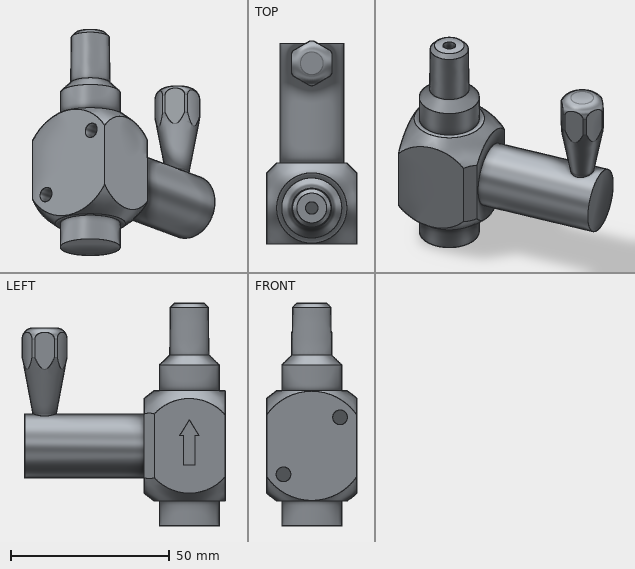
import cadquery as cq
import math

BLOCK_WIDTH = 28.6
BLOCK_BACK = BLOCK_WIDTH / 2
BLOCK_FRONT = -11.4
BLOCK_BOTTOM = 7.8
BLOCK_HEIGHT = 34.9
BLOCK_TOP = BLOCK_BOTTOM + BLOCK_HEIGHT
MID_Z = BLOCK_BOTTOM + BLOCK_HEIGHT / 2
ROUNDING_RADIUS = 20.7
BACK_CHAMFER = 3.25

TOTAL_HEIGHT = 70.35
PORT_RADIUS = 9.5
PORT_TOP = 50.8
NOZZLE_BASE_Z = 54.0
NOZZLE_BASE_RADIUS = 6.25
NOZZLE_TIP_RADIUS = 6.05
TIP_FACE_RADIUS = 4.7
TIP_CHAMFER_HEIGHT = 1.35
BORE_RADIUS = 2.0
BORE_DEPTH = TOTAL_HEIGHT - PORT_TOP

MOUNT_DIAMETER = 4.65
MOUNT_DEPTH = 7.05
MOUNT_X = 8.95
MOUNT_Z = 9.0

ARROW_TIP_Z = 33.5
ARROW_HEAD_Z = 28.6
ARROW_TAIL_Z = 19.3
ARROW_HEAD_HALF = 3.0
ARROW_SHAFT_HALF = 1.8
ARROW_DEPTH = 0.1

SPINDLE_RADIUS = 10.1
SPINDLE_END = 52.1
HANDLE_Y = 45.7
HANDLE_TOP = 62.55
STEM_RADIUS = 3.7
STEM_BASE_Z = MID_Z + SPINDLE_RADIUS
GRIP_RADIUS = 7.1
GRIP_BASE_Z = 53.1
GRIP_APOTHEM = 6.4
CROWN_FILLET = 3.5


def make_block():
    depth = BLOCK_BACK - BLOCK_FRONT
    block = (
        cq.Workplane("XY")
        .box(BLOCK_WIDTH, depth, BLOCK_HEIGHT)
        .translate((0, (BLOCK_BACK + BLOCK_FRONT) / 2, MID_Z))
        .edges("|Z and >Y")
        .chamfer(BACK_CHAMFER)
    )
    rounding = cq.Workplane("XY").sphere(ROUNDING_RADIUS).translate((0, 0, MID_Z))
    return block.intersect(rounding)


def make_ports():
    """Revolve the inlet port, outlet port and tapered nozzle about the flow axis."""
    return (
        cq.Workplane("XZ")
        .polyline([
            (0, 0),
            (PORT_RADIUS, 0),
            (PORT_RADIUS, PORT_TOP),
            (NOZZLE_BASE_RADIUS, NOZZLE_BASE_Z),
            (NOZZLE_TIP_RADIUS, TOTAL_HEIGHT - TIP_CHAMFER_HEIGHT),
            (TIP_FACE_RADIUS, TOTAL_HEIGHT),
            (0, TOTAL_HEIGHT),
        ])
        .close()
        .revolve(360, (0, 0, 0), (0, 1, 0))
    )


def make_bore():
    return (
        cq.Workplane("XY", origin=(0, 0, TOTAL_HEIGHT))
        .circle(BORE_RADIUS)
        .extrude(-BORE_DEPTH)
    )


def make_mounting_holes():
    return (
        cq.Workplane("XZ", origin=(0, BLOCK_FRONT, MID_Z))
        .pushPoints([(MOUNT_X, MOUNT_Z), (-MOUNT_X, -MOUNT_Z)])
        .circle(MOUNT_DIAMETER / 2)
        .extrude(-MOUNT_DEPTH)
    )


def make_arrow():
    return (
        cq.Workplane("YZ", origin=(-BLOCK_WIDTH / 2, 0, 0))
        .polyline([
            (0, ARROW_TIP_Z),
            (ARROW_HEAD_HALF, ARROW_HEAD_Z),
            (ARROW_SHAFT_HALF, ARROW_HEAD_Z),
            (ARROW_SHAFT_HALF, ARROW_TAIL_Z),
            (-ARROW_SHAFT_HALF, ARROW_TAIL_Z),
            (-ARROW_SHAFT_HALF, ARROW_HEAD_Z),
            (-ARROW_HEAD_HALF, ARROW_HEAD_Z),
        ])
        .close()
        .extrude(ARROW_DEPTH)
    )


def make_housing():
    solid = make_block().union(make_ports())
    return solid.cut(make_bore()).cut(make_mounting_holes()).cut(make_arrow())


def make_spindle():
    """Round spindle that rests against the back face of the block."""
    return (
        cq.Workplane("XZ", origin=(0, BLOCK_BACK, MID_Z))
        .circle(SPINDLE_RADIUS)
        .extrude(BLOCK_BACK - SPINDLE_END)
    )


def make_handle():
    """Tapered stem widening into a crowned grip with six flats."""
    crown_start = GRIP_RADIUS - CROWN_FILLET
    turned = (
        cq.Workplane("XZ", origin=(0, HANDLE_Y, 0))
        .moveTo(0, MID_Z)
        .lineTo(STEM_RADIUS, MID_Z)
        .lineTo(STEM_RADIUS, STEM_BASE_Z)
        .lineTo(GRIP_RADIUS, GRIP_BASE_Z)
        .lineTo(GRIP_RADIUS, HANDLE_TOP - CROWN_FILLET)
        .radiusArc((crown_start, HANDLE_TOP), -CROWN_FILLET)
        .lineTo(0, HANDLE_TOP)
        .close()
        .revolve(360, (0, 0, 0), (0, 1, 0))
    )
    corner_diameter = 2 * GRIP_APOTHEM / math.cos(math.pi / 6)
    hexagon = (
        cq.Workplane("XY", origin=(0, HANDLE_Y, MID_Z))
        .transformed(rotate=(0, 0, 90))
        .polygon(6, corner_diameter)
        .extrude(HANDLE_TOP - MID_Z)
    )
    return turned.intersect(hexagon)


def make_lever():
    return make_spindle().union(make_handle())


housing = make_housing()
lever = make_lever()
result = cq.Compound.makeCompound([housing.solids().val(), lever.solids().val()])